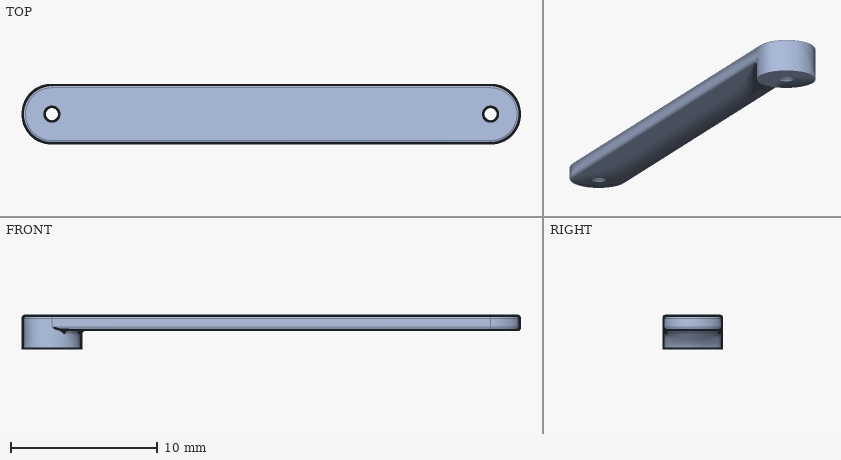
import cadquery as cq
import math

length = 34.0
width = 4.0
height = 2.25
plate_thickness = 1.0
hole_diameter = 1.0
edge_radius = 0.2

end_radius = width / 2
hole_offset = length / 2 - end_radius
plate_bottom = height - plate_thickness
flat_half_width = end_radius - edge_radius
arc_inset = edge_radius * (1 - math.sqrt(0.5))


def arm_bar():
    """Straight stretch between the pivots, with its four long edges rounded."""
    return (
        cq.Workplane("YZ")
        .rect(width, plate_thickness)
        .extrude(2 * hole_offset)
        .edges("|X")
        .fillet(edge_radius)
        .translate((-hole_offset, 0, plate_bottom + plate_thickness / 2))
    )


def round_end(x, bottom, rounded_edges):
    """Disc centred on a pivot, reaching from bottom to the top of the part."""
    return (
        cq.Workplane("XY")
        .workplane(offset=bottom)
        .center(x, 0)
        .circle(end_radius)
        .extrude(height - bottom)
        .edges(rounded_edges)
        .fillet(edge_radius)
    )


def boss_flare():
    """Concave fillet between the boss wall and the underside of the bar."""
    ring = (
        cq.Workplane("XZ")
        .moveTo(flat_half_width, plate_bottom - edge_radius)
        .lineTo(end_radius, plate_bottom - edge_radius)
        .threePointArc(
            (end_radius + arc_inset, plate_bottom - arc_inset),
            (end_radius + edge_radius, plate_bottom),
        )
        .lineTo(end_radius + edge_radius, plate_bottom + edge_radius)
        .lineTo(flat_half_width, plate_bottom + edge_radius)
        .close()
        .revolve(360, (0, 0, 0), (0, 1, 0))
    )
    envelope = (
        cq.Workplane("YZ")
        .polyline([
            (-end_radius, plate_bottom + edge_radius),
            (-flat_half_width, plate_bottom - edge_radius),
            (flat_half_width, plate_bottom - edge_radius),
            (end_radius, plate_bottom + edge_radius),
        ])
        .close()
        .extrude(end_radius + edge_radius)
    )
    return ring.intersect(envelope).translate((-hole_offset, 0, 0))


def pivot_holes():
    """Through holes at the centres of both round ends."""
    return (
        cq.Workplane("XY")
        .pushPoints([(-hole_offset, 0), (hole_offset, 0)])
        .circle(hole_diameter / 2)
        .extrude(height)
    )


boss = round_end(-hole_offset, 0, ">Z")
plain_end = round_end(hole_offset, plate_bottom, "%CIRCLE")
arm = arm_bar().union(plain_end).union(boss).union(boss_flare())
result = arm.cut(pivot_holes())